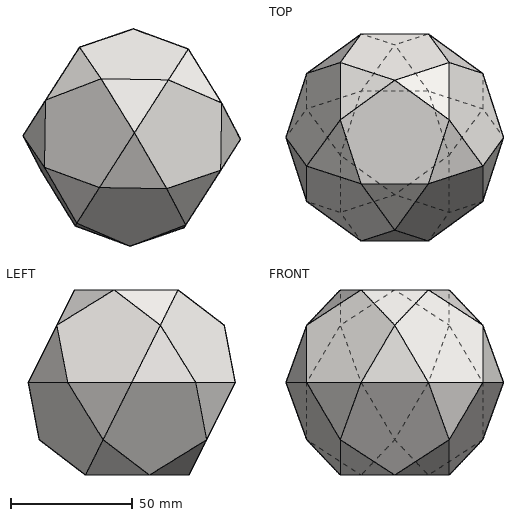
import cadquery as cq
import math

circumradius = 45.0
sides = 5
sector = 360.0 / sides
start_angle = 90.0

golden_ratio = (1 + math.sqrt(5)) / 2
edge = circumradius / golden_ratio
cap_radius = edge / (2 * math.sin(math.pi / sides))
cap_height = math.sqrt(circumradius**2 - cap_radius**2)
shoulder_radius = cap_height
shoulder_height = cap_radius


def ring(count, radius, height, first_angle):
    """Points spaced evenly around the Z axis."""
    angles = [math.radians(first_angle + i * 360.0 / count) for i in range(count)]
    return [cq.Vector(radius * math.cos(a), radius * math.sin(a), height) for a in angles]


def flat_face(points):
    return cq.Face.makeFromWires(cq.Wire.makePolygon(points, close=True))


cap = ring(sides, cap_radius, cap_height, start_angle)
shoulder = ring(sides, shoulder_radius, shoulder_height, start_angle + sector / 2)
equator = ring(2 * sides, circumradius, 0, start_angle + sector / 4)

upper_outlines = [cap]
for i in range(sides):
    following = (i + 1) % sides
    upper_outlines.append([cap[i], shoulder[i], cap[following]])
    upper_outlines.append([shoulder[i], equator[2 * i], equator[2 * i + 1]])
    upper_outlines.append([cap[i], shoulder[i - 1], equator[2 * i - 1], equator[2 * i], shoulder[i]])

lower_outlines = [[-point for point in outline] for outline in upper_outlines]

faces = [flat_face(outline) for outline in upper_outlines + lower_outlines]
result = cq.Workplane("XY").newObject([cq.Solid.makeSolid(cq.Shell.makeShell(faces))])